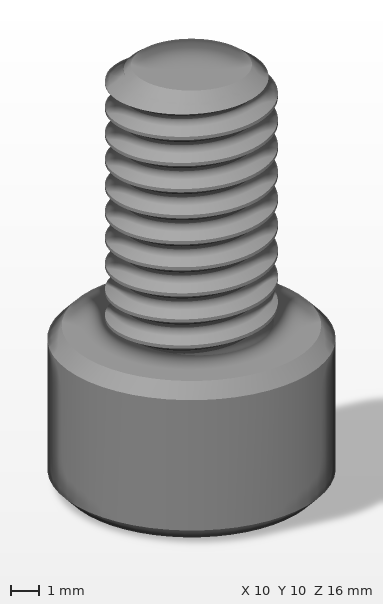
import cadquery as cq
import math

head_radius = 5.0
head_height = 6.0
head_chamfer = 0.5

shank_length = 10.0
pitch = 1.0
major_radius = 3.0
minor_radius = 2.35
flank_angle = math.radians(30)
tip_radius = 2.1
tip_slope_angle = math.radians(35)
crest_height_at_start = 11 / 16 * pitch

groove_extra_turns = 2
groove_overshoot = 0.2
boolean_tolerance = 1e-4

total_height = head_height + shank_length
tip_chamfer_height = (major_radius - tip_radius) * math.tan(tip_slope_angle)
flank_rise = (major_radius - minor_radius) * math.tan(flank_angle)
root_half_width = pitch / 16
groove_half_width = root_half_width + flank_rise
groove_outer_radius = major_radius + groove_overshoot
groove_start_height = head_height + crest_height_at_start - 3 / 2 * pitch
groove_length = shank_length + groove_extra_turns * pitch


def make_head():
    blank = cq.Workplane("XY").circle(head_radius).extrude(head_height)
    return blank.faces("<Z or >Z").chamfer(head_chamfer)


def make_shank_blank():
    """Plain shank with a conical tip, rooted on the top face of the head."""
    return (
        cq.Workplane("XZ")
        .moveTo(0, head_height)
        .lineTo(major_radius, head_height)
        .lineTo(major_radius, total_height - tip_chamfer_height)
        .lineTo(tip_radius, total_height)
        .lineTo(0, total_height)
        .close()
        .revolve(360, (0, 0, 0), (0, 1, 0))
    )


def make_thread_groove():
    """Right-hand helical groove that runs past both ends of the shank."""
    helix = cq.Wire.makeHelix(pitch, groove_length, minor_radius).moved(
        cq.Location(cq.Vector(0, 0, groove_start_height))
    )
    profile = (
        cq.Workplane("XZ")
        .moveTo(minor_radius, groove_start_height - root_half_width)
        .lineTo(major_radius, groove_start_height - groove_half_width)
        .lineTo(groove_outer_radius, groove_start_height - groove_half_width)
        .lineTo(groove_outer_radius, groove_start_height + groove_half_width)
        .lineTo(major_radius, groove_start_height + groove_half_width)
        .lineTo(minor_radius, groove_start_height + root_half_width)
        .close()
    )
    return profile.sweep(cq.Workplane(helix), isFrenet=True)


shank = make_shank_blank().cut(make_thread_groove(), tol=boolean_tolerance)
result = make_head().union(shank)